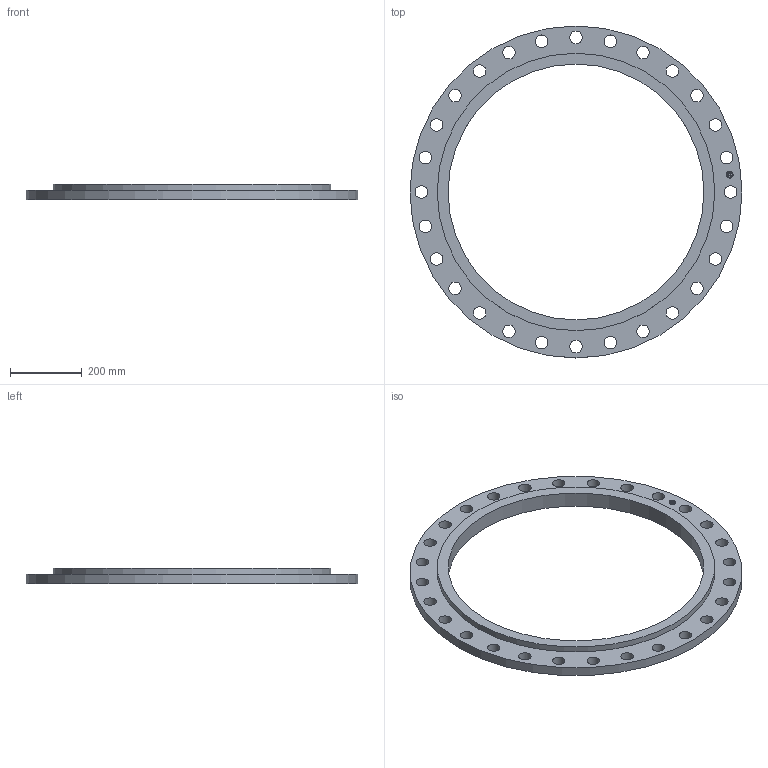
import cadquery as cq
import math

INCH = 25.4
flange_diameter = 36.5 * INCH
hub_diameter = 30.5 * INCH
bore_diameter = 28.125 * INCH
total_height = 1.75 * INCH
flange_thickness = 1.0625 * INCH

bolt_count = 28
bolt_circle_radius = 34.0 * INCH / 2
bolt_hole_diameter = 1.375 * INCH
bolt_pitch_angle = 360.0 / bolt_count

recess_diameters = (0.75 * INCH, 14.0, 6.0)
recess_step_depth = 1.0
recess_angle = bolt_pitch_angle / 2


def on_bolt_circle(angle):
    """XY position on the bolt circle at an angle in degrees from +X."""
    radians = math.radians(angle)
    return (bolt_circle_radius * math.cos(radians), bolt_circle_radius * math.sin(radians))


def make_ring():
    """Flat flange with a raised hub on top and a bore through both."""
    flange = cq.Workplane("XY").circle(flange_diameter / 2).extrude(flange_thickness)
    hub = cq.Workplane("XY").circle(hub_diameter / 2).extrude(total_height)
    bore = cq.Workplane("XY").circle(bore_diameter / 2).extrude(total_height)
    return flange.union(hub).cut(bore)


def make_bolt_holes():
    """Cutters for the through holes, equally spaced with one on +X."""
    centers = [on_bolt_circle(i * bolt_pitch_angle) for i in range(bolt_count)]
    return cq.Workplane("XY").pushPoints(centers).circle(bolt_hole_diameter / 2).extrude(flange_thickness)


def make_recess():
    """Cutter for the recess: concentric discs, each smaller one a step deeper than the last."""
    center = on_bolt_circle(recess_angle)
    flange_top = cq.Workplane("XY").workplane(offset=flange_thickness).center(*center)
    recess = cq.Workplane("XY")
    for step, diameter in enumerate(recess_diameters, start=1):
        disc = flange_top.circle(diameter / 2).extrude(-step * recess_step_depth)
        recess = recess.add(disc)
    return recess.combine()


result = make_ring().cut(make_bolt_holes()).cut(make_recess())